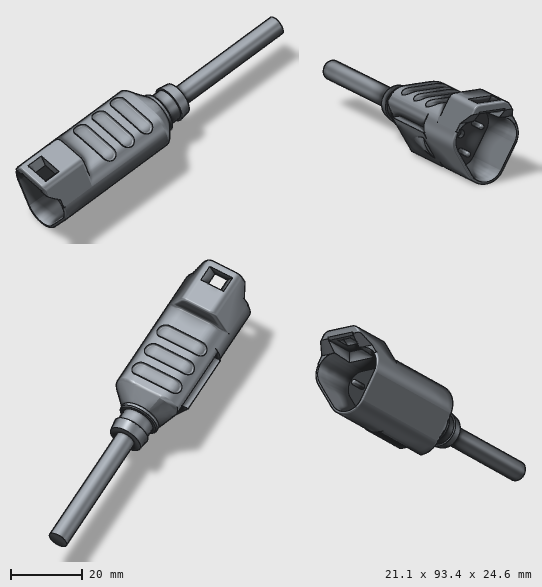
import cadquery as cq
import math


PIN_SPACING = 8.6
PIN_CIRCLE_RADIUS = PIN_SPACING / math.sqrt(3)
CORNER_RADIUS = 6.17
FLAT_DISTANCE = PIN_CIRCLE_RADIUS / 2 + CORNER_RADIUS
FLAT_DIRECTIONS = (90, 210, 330)
CORNER_DIRECTIONS = (150, 270, 30)
LEFT_FLAT = 210

TAPER_START = 39.6
TAPER_END = 43.8
FLANGE_START = 40.5
FLANGE_END = 45.1
RING_START = 48.9
RING_END = 52.15
HOOD_TIP = -3.57
OVERALL_LENGTH = 93.45
CABLE_END = OVERALL_LENGTH + HOOD_TIP

CABLE_DIAMETER = 5.7
NECK_DIAMETER = 9.6
FLANGE_DIAMETER = 12.0
RING_FRONT_DIAMETER = 10.8
RING_REAR_DIAMETER = 9.8
TAPER_FACET_HALF_ANGLE = 26
SHOULDER_FILLET = 1.5
FLANGE_CHAMFER = 0.35

SOCKET_DEPTH = 15.0
SOCKET_MOUTH_RADIUS = 5.4
SOCKET_FLOOR_RADIUS = 4.65
RIM_FILLET = 0.5
PIN_DIAMETER = 1.6
PIN_LENGTH = 5.0
PIN_TIP_FILLET = 0.75
CENTRE_HOLE_DIAMETER = 2.5
CENTRE_HOLE_DEPTH = 2.0

HOOD_SIDE_NORMAL = 30
OVERALL_HEIGHT = 24.57
HOOD_TOP = OVERALL_HEIGHT - PIN_CIRCLE_RADIUS - CORNER_RADIUS
HOOD_REAR = 11.75
HOOD_SIDE_FILLET = 2.4
HOOD_REAR_FILLET = 0.9
HOOD_BASE_FILLET = 0.8
HOOD_TIP_FILLET = 0.5
HOOD_SLOPE_BOTTOM = 7.8
HOOD_SLOPE_TOP = 10.95
POCKET_HALF_WIDTH = 4.1
POCKET_TOP = 10.7
POCKET_DEPTH = 8.0
POCKET_LEAD_IN = 0.7
WINDOW_FRONT = -1.4
WINDOW_REAR = 3.63
WINDOW_TOP_HALF_WIDTH = 3.7
WINDOW_BOTTOM_HALF_WIDTH = 2.0

GRIP_POSITIONS = (20.6, 27.6, 34.6)
GRIP_LENGTH = 15.6
GRIP_WIDTH = 4.3
GRIP_DEPTH = 0.7
GRIP_FLOOR_FILLET = 0.5

RECESS_START = 17.3
RECESS_DEPTH = 2.4
RECESS_DISTANCE = FLAT_DISTANCE - RECESS_DEPTH
RECESS_FILLET = 2.5
RECESS_END_DISTANCE = 5.65
PAD_REAR = 35.4
PAD_TOP = 1.18
PAD_BOTTOM = -9.6
PAD_THICKNESS = 4.0
BUMP_FRONT = 19.5
BUMP_CREST = 21.0
BUMP_NOSE = 27.6
BUMP_HEIGHT = 0.75
BUMP_HALF_WIDTH = 4.2

SELECT_MARGIN = 0.1


def polar(radius, degrees):
    """Point in the XZ plane at a radius and angle from the cable axis."""
    angle = math.radians(degrees)
    return (radius * math.cos(angle), radius * math.sin(angle))


def section_plane(y):
    """Workplane across the cable axis, local axes X and Z."""
    return cq.Workplane("XZ", origin=(0, y, 0))


def edges_between(low, high):
    """Selector for the edges whose middles lie in a box, symmetric in X, from (Y, Z) low to high."""
    reach = 2 * FLAT_DISTANCE
    return cq.selectors.BoxSelector((-reach, *low), (reach, *high))


def cylinder(diameter, start, end):
    return section_plane(start).circle(diameter / 2).extrude(start - end)


PIN_CENTRES = [polar(PIN_CIRCLE_RADIUS, a) for a in CORNER_DIRECTIONS]


def triangle_wire(plane, corner_radius):
    """Triangle of pin centres grown by a corner radius."""
    flat_distance = PIN_CIRCLE_RADIUS / 2 + corner_radius
    half_flat_angle = math.degrees(math.atan2(PIN_SPACING / 2, flat_distance))
    flat_end_radius = math.hypot(PIN_SPACING / 2, flat_distance)
    wire = plane.moveTo(*polar(flat_end_radius, FLAT_DIRECTIONS[0] - half_flat_angle))
    for index, flat in enumerate(FLAT_DIRECTIONS):
        next_flat = FLAT_DIRECTIONS[(index + 1) % len(FLAT_DIRECTIONS)]
        wire = wire.lineTo(*polar(flat_end_radius, flat + half_flat_angle))
        wire = wire.threePointArc(
            polar(PIN_CIRCLE_RADIUS + corner_radius, CORNER_DIRECTIONS[index]),
            polar(flat_end_radius, next_flat - half_flat_angle),
        )
    return wire.close()


def split_circle_wire(plane, radius):
    """Circle cut into six arcs that pair with the flats and corners of the triangle."""
    half = TAPER_FACET_HALF_ANGLE
    wire = plane.moveTo(*polar(radius, FLAT_DIRECTIONS[0] - half))
    for index, flat in enumerate(FLAT_DIRECTIONS):
        next_flat = FLAT_DIRECTIONS[(index + 1) % len(FLAT_DIRECTIONS)]
        wire = wire.threePointArc(polar(radius, flat), polar(radius, flat + half))
        wire = wire.threePointArc(
            polar(radius, CORNER_DIRECTIONS[index]),
            polar(radius, next_flat - half),
        )
    return wire.close()


def triangle_prism(corner_radius, start, end):
    return triangle_wire(section_plane(start), corner_radius).extrude(start - end)


def ruled_loft(start_wire, end_wire):
    return cq.Workplane(cq.Solid.makeLoft([start_wire, end_wire], True))


def triangle_loft(start_radius, end_radius, start, end):
    start_wire = triangle_wire(section_plane(start), start_radius).val()
    end_wire = triangle_wire(section_plane(end), end_radius).val()
    return ruled_loft(start_wire, end_wire)


def left_slab(inner, outer, start, end, breadth=4 * FLAT_DISTANCE):
    """Block between two distances from the axis, facing the left flat."""
    slab = cq.Workplane("XY").box(outer - inner, end - start, breadth)
    slab = slab.translate(((inner + outer) / 2, (start + end) / 2, 0))
    return slab.rotate((0, 0, 0), (0, 1, 0), -LEFT_FLAT)


def make_shoulder():
    """Full section that narrows from the triangle to the round flange."""
    straight = triangle_prism(CORNER_RADIUS, 0, TAPER_START)
    taper_start_wire = triangle_wire(section_plane(TAPER_START), CORNER_RADIUS).val()
    taper_end_wire = split_circle_wire(section_plane(TAPER_END), FLANGE_DIAMETER / 2).val()
    taper = ruled_loft(taper_start_wire, taper_end_wire)
    shoulder_edges = edges_between(
        (TAPER_START - SELECT_MARGIN, -2 * FLAT_DISTANCE),
        (TAPER_START + SELECT_MARGIN, 2 * FLAT_DISTANCE),
    )
    return straight.union(taper).edges(shoulder_edges).fillet(SHOULDER_FILLET)


def make_recess_facet():
    """Wedge that tilts the recess inward over the length of the taper."""
    wedge = (
        cq.Workplane("XY")
        .polyline(
            [
                (RECESS_DISTANCE, TAPER_START),
                (2 * FLAT_DISTANCE, TAPER_START),
                (2 * FLAT_DISTANCE, TAPER_END),
                (RECESS_END_DISTANCE, TAPER_END),
            ]
        )
        .close()
        .extrude(2 * FLAT_DISTANCE, both=True)
    )
    return wedge.rotate((0, 0, 0), (0, 1, 0), -LEFT_FLAT)


def make_rear_body():
    """Rear half of the body with the flat recess along its left side."""
    core = triangle_prism(CORNER_RADIUS, RECESS_START, TAPER_END)
    core = core.cut(left_slab(RECESS_DISTANCE, 2 * FLAT_DISTANCE, RECESS_START, TAPER_END))
    core = core.edges("|Y").edges("<X or <Z").fillet(RECESS_FILLET)
    core = core.cut(make_recess_facet())
    return make_shoulder().intersect(core)


def flat_height_to_x(z):
    """X of the plane of the left flat at a given Z."""
    normal_x, normal_z = polar(1, LEFT_FLAT)
    return (FLAT_DISTANCE - normal_z * z) / normal_x


def make_pad():
    """Raised pad that brings part of the recess back out to the left flat."""
    top = (flat_height_to_x(PAD_TOP), PAD_TOP)
    bottom = (flat_height_to_x(PAD_BOTTOM), PAD_BOTTOM)
    inner_top = (top[0] + PAD_THICKNESS, PAD_TOP)
    inner_bottom = (bottom[0] + PAD_THICKNESS, PAD_BOTTOM)
    return (
        section_plane(RECESS_START)
        .polyline([top, bottom, inner_bottom, inner_top])
        .close()
        .extrude(RECESS_START - PAD_REAR)
    )


def make_bump():
    """Arrow-shaped bump: a slice of a cone about the cable axis, standing on the pad."""
    crest_radius = FLAT_DISTANCE + BUMP_HEIGHT
    cone = (
        cq.Workplane("XY")
        .polyline(
            [
                (0, BUMP_FRONT),
                (crest_radius, BUMP_FRONT),
                (crest_radius, BUMP_CREST),
                (FLAT_DISTANCE, BUMP_NOSE),
                (0, BUMP_NOSE),
            ]
        )
        .close()
        .revolve(360, (0, 0, 0), (0, 1, 0))
    )
    pad_side = left_slab(RECESS_DISTANCE, 2 * FLAT_DISTANCE, BUMP_FRONT, BUMP_NOSE, 2 * BUMP_HALF_WIDTH)
    return cone.intersect(pad_side)


def make_hood():
    """Latch hood with sides tangent to the upper corners and an overhanging tip."""
    right_pin_x, right_pin_z = PIN_CENTRES[2]
    offset_x, offset_z = polar(CORNER_RADIUS, HOOD_SIDE_NORMAL)
    side_x = right_pin_x + offset_x
    side_z = right_pin_z + offset_z
    top_x = side_x - (HOOD_TOP - side_z) * math.tan(math.radians(HOOD_SIDE_NORMAL))
    hood = (
        section_plane(HOOD_TIP)
        .polyline(
            [
                (-top_x, HOOD_TOP),
                (top_x, HOOD_TOP),
                (side_x, side_z),
                (right_pin_x, right_pin_z),
                (-right_pin_x, right_pin_z),
                (-side_x, side_z),
            ]
        )
        .close()
        .extrude(HOOD_TIP - HOOD_REAR)
    )
    hood = hood.edges("|Y and >Z").fillet(HOOD_SIDE_FILLET)
    side_profile = (
        cq.Workplane("YZ")
        .polyline(
            [
                (HOOD_TIP, HOOD_TOP),
                (HOOD_TIP, HOOD_SLOPE_TOP),
                (0, HOOD_SLOPE_BOTTOM),
                (0, right_pin_z),
                (HOOD_REAR, right_pin_z),
                (HOOD_REAR, HOOD_TOP),
            ]
        )
        .close()
        .extrude(2 * side_x, both=True)
    )
    hood = hood.intersect(side_profile)
    rear_edges = edges_between(
        (HOOD_REAR - SELECT_MARGIN, side_z + SELECT_MARGIN),
        (HOOD_REAR + SELECT_MARGIN, HOOD_TOP + SELECT_MARGIN),
    )
    hood = hood.edges(rear_edges).fillet(HOOD_REAR_FILLET)
    tip_edges = edges_between(
        (HOOD_TIP - SELECT_MARGIN, HOOD_SLOPE_TOP + SELECT_MARGIN),
        (HOOD_TIP + SELECT_MARGIN, HOOD_TOP + SELECT_MARGIN),
    )
    return hood.edges(tip_edges).fillet(HOOD_TIP_FILLET)


def make_hood_pocket():
    """Latch pocket with a bevelled ceiling edge, open forward and down into the socket."""
    floor = PIN_CENTRES[0][1]
    return (
        cq.Workplane("YZ")
        .polyline(
            [
                (HOOD_TIP, floor),
                (HOOD_TIP, POCKET_TOP + POCKET_LEAD_IN),
                (HOOD_TIP + POCKET_LEAD_IN, POCKET_TOP),
                (POCKET_DEPTH, POCKET_TOP),
                (POCKET_DEPTH, floor),
            ]
        )
        .close()
        .extrude(POCKET_HALF_WIDTH, both=True)
    )


def make_window():
    """Latch window through the hood roof with sides that slope inward."""
    return (
        section_plane(WINDOW_FRONT)
        .polyline(
            [
                (-WINDOW_TOP_HALF_WIDTH, HOOD_TOP),
                (WINDOW_TOP_HALF_WIDTH, HOOD_TOP),
                (WINDOW_BOTTOM_HALF_WIDTH, POCKET_TOP),
                (-WINDOW_BOTTOM_HALF_WIDTH, POCKET_TOP),
            ]
        )
        .close()
        .extrude(WINDOW_FRONT - WINDOW_REAR)
    )


def make_pins():
    pins = section_plane(SOCKET_DEPTH).pushPoints(PIN_CENTRES).circle(PIN_DIAMETER / 2).extrude(PIN_LENGTH)
    return pins.faces("<Y").edges().fillet(PIN_TIP_FILLET)


def make_grip_recesses():
    """Stadium recesses of even depth that follow the curved top."""
    cutter = (
        cq.Workplane("XY", origin=(0, 0, PIN_CENTRES[0][1]))
        .pushPoints([(0, y) for y in GRIP_POSITIONS])
        .slot2D(GRIP_LENGTH, GRIP_WIDTH)
        .extrude(FLAT_DISTANCE)
    )
    recesses = cutter.cut(triangle_prism(CORNER_RADIUS - GRIP_DEPTH, 0, TAPER_START))
    below_top = edges_between((0, 0), (TAPER_START, FLAT_DISTANCE))
    floor_edges = recesses.edges(below_top).edges("not (|Z or |Y)")
    return floor_edges.fillet(GRIP_FLOOR_FILLET)


def make_strain_relief():
    """Flange, neck, tapered ring and cable, all round about the cable axis."""
    relief = cylinder(FLANGE_DIAMETER, FLANGE_START, FLANGE_END).faces(">Y").chamfer(FLANGE_CHAMFER)
    relief = relief.union(cylinder(NECK_DIAMETER, TAPER_END, RING_END))
    ring = (
        section_plane(RING_START)
        .circle(RING_FRONT_DIAMETER / 2)
        .workplane(offset=RING_START - RING_END)
        .circle(RING_REAR_DIAMETER / 2)
        .loft()
    )
    return relief.union(ring).union(cylinder(CABLE_DIAMETER, TAPER_END, CABLE_END))


def make_front():
    """Front half: shell, latch hood, socket, pocket, window and pins."""
    shell = triangle_prism(CORNER_RADIUS, 0, RECESS_START).faces("<Y").edges().fillet(RIM_FILLET)
    front = shell.union(make_hood())
    hood_base = edges_between(
        (HOOD_REAR - HOOD_REAR_FILLET, CORNER_RADIUS - SELECT_MARGIN),
        (HOOD_REAR + SELECT_MARGIN, FLAT_DISTANCE + SELECT_MARGIN),
    )
    front = front.edges(hood_base).fillet(HOOD_BASE_FILLET)
    front = front.cut(triangle_loft(SOCKET_MOUTH_RADIUS, SOCKET_FLOOR_RADIUS, 0, SOCKET_DEPTH))
    front = front.cut(make_hood_pocket()).cut(make_window())
    return front.union(make_pins())


def make_rear():
    """Rear half: body with pad, bump and grips, then the strain relief and cable."""
    rear = make_rear_body().union(make_pad()).union(make_bump())
    rear = rear.cut(make_grip_recesses())
    return rear.union(make_strain_relief())


def make_part():
    centre_hole = cylinder(CENTRE_HOLE_DIAMETER, SOCKET_DEPTH, SOCKET_DEPTH + CENTRE_HOLE_DEPTH)
    return make_front().union(make_rear()).cut(centre_hole)


result = make_part()